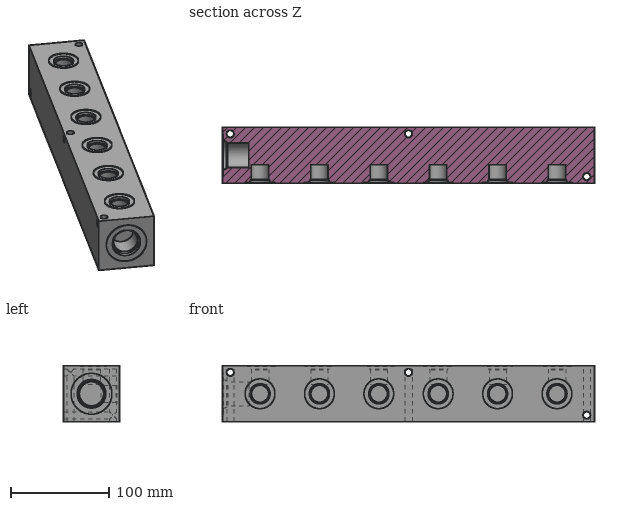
import cadquery as cq
import math

length = 378.0
width = 57.0

port_count = 6
port_end_inset = 38.0
port_pitch = (length - 2 * port_end_inset) / (port_count - 1)
port_spotface_diameter = 30.2
port_seat_diameter = 20.5
port_seat_depth = 3.0
port_bore_diameter = 17.5
port_depth = 19.0

end_spotface_diameter = 41.5
end_seat_diameter = 29.0
end_seat_depth = 3.8
end_bore_diameter = 24.5
end_depth = 26.5

spotface_depth = 0.8
seat_angle = 15.0

mounting_diameter = 7.0
mounting_pitch = 181.0
mounting_edge_inset = 6.8

half_length = length / 2
half_width = width / 2

front_face = cq.Plane(origin=(0, -half_width, 0), xDir=(1, 0, 0), normal=(0, -1, 0))
top_face = cq.Plane(origin=(0, 0, half_width), xDir=(1, 0, 0), normal=(0, 0, 1))
end_face = cq.Plane(origin=(-half_length, 0, 0), xDir=(0, -1, 0), normal=(-1, 0, 0))


def port_cutter(spotface_diameter, seat_diameter, seat_depth, bore_diameter, depth):
    """Spotface, tapered seat, 45 degree lead-in and flat-bottomed bore, going down from Z = 0."""
    spotface_radius = spotface_diameter / 2
    seat_radius = seat_diameter / 2
    bore_radius = bore_diameter / 2
    seat_end_radius = seat_radius - (seat_depth - spotface_depth) * math.tan(math.radians(seat_angle))
    lead_in_end = seat_depth + seat_end_radius - bore_radius
    half_profile = (
        cq.Workplane("XZ")
        .polyline([
            (0, 0),
            (spotface_radius, 0),
            (spotface_radius, -spotface_depth),
            (seat_radius, -spotface_depth),
            (seat_end_radius, -seat_depth),
            (bore_radius, -lead_in_end),
            (bore_radius, -depth),
            (0, -depth),
        ])
        .close()
    )
    return half_profile.revolve(360, (0, 0, 0), (0, 1, 0)).val()


def cut_at(block, face, points, cutter):
    """Subtract the cutter, sunk into the face, at each of the points."""
    return block.cut(cq.Workplane(face).pushPoints(points).eachpoint(lambda place: cutter.moved(place), True))


block = cq.Workplane("XY").box(length, width, width)

port = port_cutter(
    port_spotface_diameter, port_seat_diameter, port_seat_depth, port_bore_diameter, port_depth
)
end_port = port_cutter(
    end_spotface_diameter, end_seat_diameter, end_seat_depth, end_bore_diameter, end_depth
)
mounting_hole = cq.Workplane("XY").circle(mounting_diameter / 2).extrude(-width).val()

port_points = [((i - (port_count - 1) / 2) * port_pitch, 0) for i in range(port_count)]

mounting_offset = half_width - mounting_edge_inset
mounting_points = [
    (-mounting_pitch, mounting_offset),
    (0, mounting_offset),
    (mounting_pitch, -mounting_offset),
]

for face in (front_face, top_face):
    block = cut_at(block, face, port_points, port)
    block = cut_at(block, face, mounting_points, mounting_hole)

result = cut_at(block, end_face, [(0, 0)], end_port)